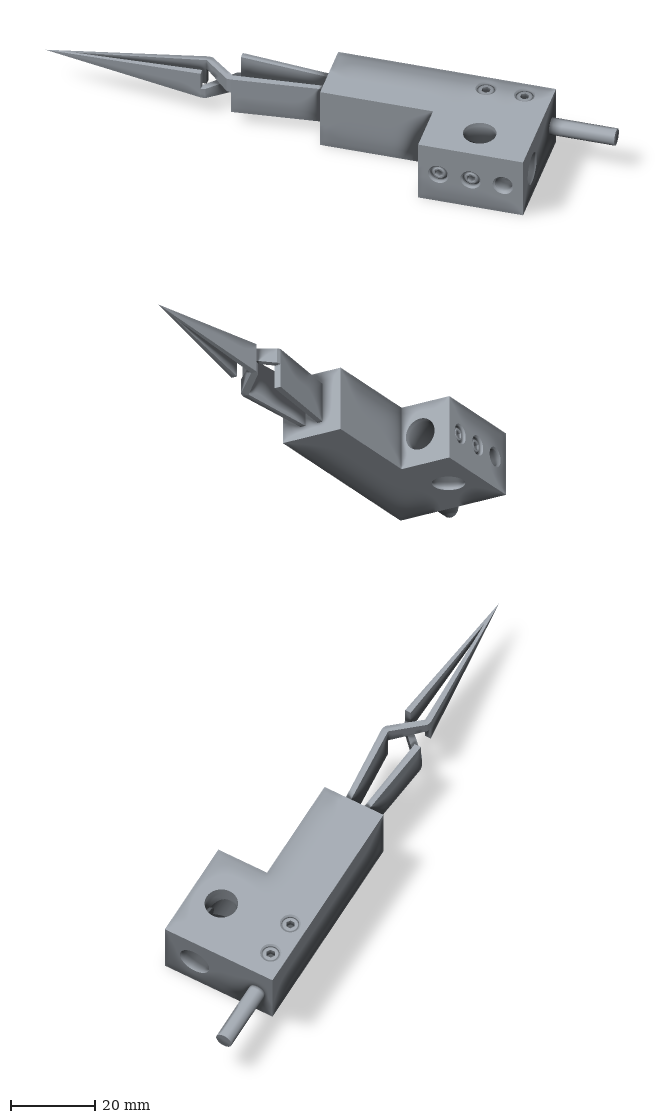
import cadquery as cq


overall_length = 140.0

arm_height = 16.0
arm_depth = 16.1
housing_length = 53.8
housing_depth = 29.4
foot_length = 25.9
half_height = arm_height / 2
back_face = 8.0
foot_start = housing_length - foot_length
foot_center = housing_length - foot_length / 2
arm_face = back_face - arm_depth
foot_face = back_face - housing_depth

bore_diameter = 8.0
bore_y = -13.3

hole_diameter = 4.2
countersink_diameter = 5.0
countersink_depth = (countersink_diameter - hole_diameter) / 2
hole_pitch = 8.0
foot_hole_positions = [foot_center - hole_pitch, foot_center, foot_center + hole_pitch]
foot_screw_chamfer = 0.7
clamp_screw_chamfer = 0.3
screw_recess = countersink_depth
socket_sides = 6
socket_diameter = 2.2
socket_depth = 1.7
screw_tip_y = -16.5
socket_turn = 30
clamp_screw_positions = [37.7, 47.2]

rod_diameter = 4.2
rod_y = 3.8
rod_overhang = 16.1
rod_start = clamp_screw_positions[0] - hole_diameter

tip_x = housing_length + rod_overhang - overall_length
tip_joint_x = -63.0
front_bend_x = -30.8
rear_bend_x = -22.8
bend_flat = 1.1
bend_drop = 0.3
front_bend_outer = 3.5
front_bend_inner = 2.0
rear_bend_outer = 5.3
rear_bend_inner = 3.6
root_outer = 3.1
root_inner = 1.7
blade_height = 7.1
root_height = 9.8
blade_half_height = blade_height / 2
root_half_height = root_height / 2
crossing_gap = 2.0


def on_foot_face(shape, x):
    """Turns a shape that hangs from the origin so that it enters the foot's -Y face at x."""
    return shape.rotate((0, 0, 0), (1, 0, 0), 90).translate((x, foot_face, 0))


def screw_hole(depth):
    """Countersunk hole that goes down from the origin."""
    hole = cq.Workplane("XY").circle(hole_diameter / 2).extrude(-depth)
    countersink = (
        cq.Workplane("XY")
        .circle(countersink_diameter / 2)
        .workplane(offset=-countersink_depth)
        .circle(hole_diameter / 2)
        .loft(ruled=True)
    )
    return hole.union(countersink)


def set_screw(depth, chamfer):
    """Chamfered set screw with a hexagon socket, hanging down from the origin."""
    return (
        cq.Workplane("XY")
        .workplane(offset=-depth)
        .circle(hole_diameter / 2)
        .extrude(depth - screw_recess)
        .faces(">Z")
        .chamfer(chamfer)
        .faces(">Z")
        .workplane()
        .transformed(rotate=(0, 0, socket_turn))
        .polygon(socket_sides, socket_diameter)
        .cutBlind(-socket_depth)
    )


def make_rod():
    return (
        cq.Workplane("YZ", origin=(rod_start, rod_y, 0))
        .circle(rod_diameter / 2)
        .extrude(housing_length + rod_overhang - rod_start)
    )


def make_housing(rod):
    block = (
        cq.Workplane("XY")
        .workplane(offset=-half_height)
        .moveTo(0, back_face)
        .lineTo(housing_length, back_face)
        .lineTo(housing_length, foot_face)
        .lineTo(foot_start, foot_face)
        .lineTo(foot_start, arm_face)
        .lineTo(0, arm_face)
        .close()
        .extrude(arm_height)
    )

    x_bore = (
        cq.Workplane("YZ", origin=(foot_start, bore_y, 0))
        .circle(bore_diameter / 2)
        .extrude(foot_length)
    )
    z_bore = (
        cq.Workplane("XY", origin=(foot_center, bore_y, -half_height))
        .circle(bore_diameter / 2)
        .extrude(arm_height)
    )
    block = block.cut(x_bore).cut(z_bore)

    bore_reach = bore_y - foot_face
    screw_length = screw_tip_y - foot_face
    for x in foot_hole_positions:
        block = block.cut(on_foot_face(screw_hole(bore_reach), x))
    for x in foot_hole_positions[:2]:
        screw = set_screw(screw_length, foot_screw_chamfer)
        block = block.union(on_foot_face(screw, x))

    clamp_depth = half_height - rod_diameter / 2
    for x in clamp_screw_positions:
        place = (x, rod_y, half_height)
        block = block.cut(screw_hole(clamp_depth).translate(place))
        block = block.union(set_screw(clamp_depth, clamp_screw_chamfer).translate(place))

    return block.cut(rod)


def make_jaw():
    """Jaw with its tip on the +Y side, its root on the -Y side and its crossing bar on top."""
    plan = (
        cq.Workplane("XY")
        .workplane(offset=-root_half_height)
        .moveTo(tip_x, 0)
        .lineTo(front_bend_x, front_bend_outer)
        .lineTo(front_bend_x + bend_flat, front_bend_outer - bend_drop)
        .lineTo(rear_bend_x, -rear_bend_inner)
        .lineTo(0, -root_inner)
        .lineTo(0, -root_outer)
        .lineTo(rear_bend_x, -rear_bend_outer)
        .lineTo(rear_bend_x - bend_flat, -rear_bend_outer + bend_drop)
        .lineTo(front_bend_x, front_bend_inner)
        .lineTo(tip_joint_x, 0)
        .close()
        .extrude(root_height)
    )
    side = (
        cq.Workplane("XZ")
        .moveTo(tip_x, 0)
        .lineTo(front_bend_x, blade_half_height)
        .lineTo(rear_bend_x, root_half_height)
        .lineTo(0, root_half_height)
        .lineTo(0, -root_half_height)
        .lineTo(rear_bend_x, -root_half_height)
        .lineTo(rear_bend_x, crossing_gap / 2)
        .lineTo(front_bend_x, crossing_gap / 2)
        .lineTo(front_bend_x, -blade_half_height)
        .close()
        .extrude(rear_bend_outer, both=True)
    )
    return plan.intersect(side)


def make_tweezers():
    jaw = make_jaw()
    return jaw.union(jaw.rotate((0, 0, 0), (1, 0, 0), 180))


rod = make_rod()
housing = make_housing(rod)
tweezers = make_tweezers()

result = cq.Compound.makeCompound([housing.val(), tweezers.val(), rod.val()])